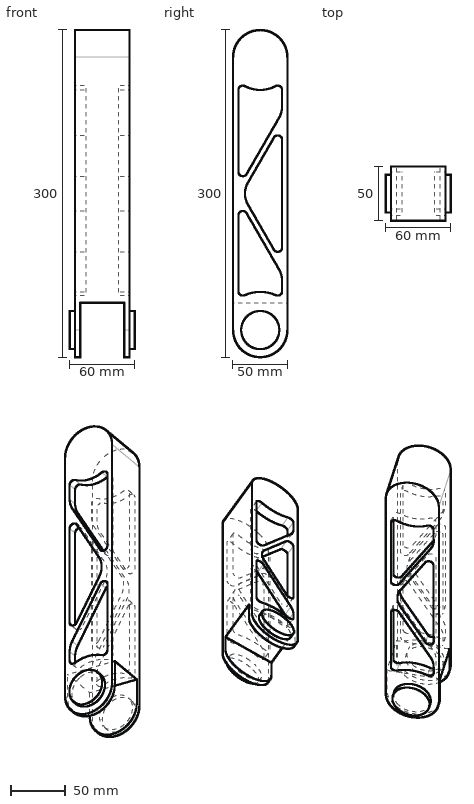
import cadquery as cq
import math

arm_width = 50.0
arm_depth = 50.0
axis_spacing = 250.0
end_radius = arm_depth / 2

fork_wall = 5.0
fork_floor_z = end_radius

pin_diameter = 35.0
pin_length = 5.0

pocket_depth = 10.0
pocket_border = 5.0
lower_clearance_radius = 35.0
upper_clearance_radius = 30.0
rib_thickness = 5.0
rib_angle = math.radians(60)
corner_radius = 4.0
bend_radius = 20.0
position_tolerance = 0.001

pocket_half = arm_depth / 2 - pocket_border
mid_z = axis_spacing / 2
rib_slope = math.tan(rib_angle)
rib_apex_y = -pocket_half
rib_edge_offset = rib_thickness / 2 / math.sin(rib_angle)


def rib_edge_height(y, apex_y):
    """Height above mid_z, at y, of a rib edge that meets mid_z at apex_y."""
    return (y - apex_y) * rib_slope


def extrude_pocket(outline):
    """Turn a closed YZ outline into a cutter entering the -X face."""
    return outline.close().extrude(pocket_depth).translate((-arm_width / 2, 0, 0))


def round_corners(cutter, bend_y, bend_z):
    """Round the obtuse corner at (bend_y, bend_z) with the bend radius, all others with the corner radius."""
    def is_bend(edge):
        center = edge.Center()
        return math.dist((center.y, center.z), (bend_y, bend_z)) < position_tolerance

    corners = [edge for edge in cutter.edges("|X").vals() if not is_bend(edge)]
    solid = cutter.val().fillet(corner_radius, corners)
    bends = [edge for edge in solid.Edges() if is_bend(edge)]
    return cq.Workplane(solid.fillet(bend_radius, bends))


def end_pocket(axis_z, clearance_radius, side):
    """Pocket between a rib and an end land; side is +1 above mid_z and -1 below it."""
    outer_apex_y = rib_apex_y - rib_edge_offset
    land_z = axis_z - side * math.sqrt(clearance_radius**2 - pocket_half**2)
    bend_z = mid_z + side * rib_edge_height(pocket_half, outer_apex_y)
    tip_z = mid_z + side * rib_edge_height(-pocket_half, outer_apex_y)
    outline = (
        cq.Workplane("YZ")
        .moveTo(pocket_half, land_z)
        .threePointArc((0, axis_z - side * clearance_radius), (-pocket_half, land_z))
        .lineTo(-pocket_half, tip_z)
        .lineTo(pocket_half, bend_z)
    )
    return round_corners(extrude_pocket(outline), pocket_half, bend_z)


def middle_pocket():
    """Triangular pocket enclosed by the two ribs and the +Y border."""
    inner_apex_y = rib_apex_y + rib_edge_offset
    half_height = rib_edge_height(pocket_half, inner_apex_y)
    outline = (
        cq.Workplane("YZ")
        .moveTo(pocket_half, mid_z + half_height)
        .lineTo(inner_apex_y, mid_z)
        .lineTo(pocket_half, mid_z - half_height)
    )
    return round_corners(extrude_pocket(outline), inner_apex_y, mid_z)


def arm_body():
    """Full-width arm with a round at each end."""
    return (
        cq.Workplane("YZ")
        .center(0, mid_z)
        .slot2D(axis_spacing + arm_depth, arm_depth, 90)
        .extrude(arm_width / 2, both=True)
    )


def fork_slot():
    """Flat-floored slot that opens the lower end into two fork walls."""
    slot_height = fork_floor_z + end_radius
    return (
        cq.Workplane("XY", origin=(0, 0, -end_radius))
        .rect(arm_width - 2 * fork_wall, arm_depth)
        .extrude(slot_height)
    )


def pin_boss():
    """Round boss on the -X fork wall."""
    return (
        cq.Workplane("YZ", origin=(-arm_width / 2, 0, 0))
        .circle(pin_diameter / 2)
        .extrude(-pin_length)
    )


pockets = [
    end_pocket(axis_spacing, upper_clearance_radius, 1),
    middle_pocket(),
    end_pocket(0, lower_clearance_radius, -1),
]

result = arm_body().cut(fork_slot())
for pocket in pockets:
    result = result.cut(pocket).cut(pocket.mirror("YZ"))
result = result.union(pin_boss()).union(pin_boss().mirror("YZ"))